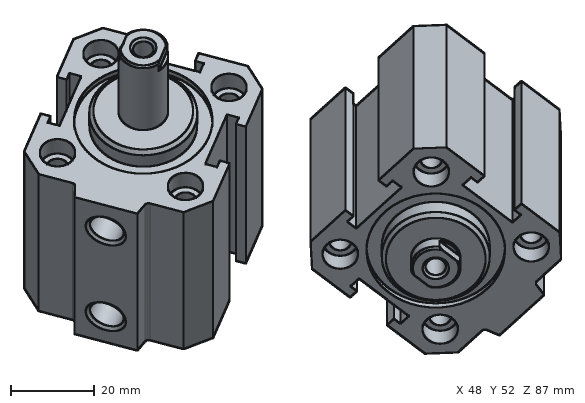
import cadquery as cq
import math

block_width = 48.0
block_height = 52.0
corner_chamfer = 5.6

rib_height = 4.0
rib_tip_width = 16.0
rib_flank_angle = 15.0
rib_root_fillet = 1.0

slot_depth = 5.5
slot_undercut_width = 16.2
side_slot_mouth_width = 12.0
side_slot_lip = 2.5
back_slot_mouth_width = 11.8
back_slot_lip = 2.6

recess_diameter = 33.3
recess_depth = 1.8
collar_diameter = 26.0
collar_projection = 3.5
collar_chamfer = 1.0

mount_spacing = 32.5
mount_diameter = 5.3
mount_counterbore_diameter = 8.5
mount_counterbore_depth = 5.5

port_spacing = 32.5
port_diameter = 8.57
port_mouth_diameter = 10.2
port_depth = 10.0

rod_diameter = 12.0
rod_upper_extension = 24.0
rod_lower_extension = 4.0
rod_end_chamfer = 0.5
flat_width = 10.0
flat_length = 3.0
thread_diameter = 4.92
thread_mouth_diameter = 6.3
thread_depth = 12.0

half_width = block_width / 2
rib_face_y = -half_width - rib_height
collar_top_z = block_height + collar_projection
collar_bottom_z = -collar_projection
rod_top_z = collar_top_z + rod_upper_extension
rod_bottom_z = collar_bottom_z - rod_lower_extension


def at_both_ends(feature):
    """A feature of the block's upper end, and its mirror image at the lower end."""
    mirrored = feature.mirror("XY", (0, 0, block_height / 2))
    return [feature, mirrored]


def block():
    body = cq.Workplane("XY").rect(block_width, block_width).extrude(block_height)
    return body.edges("|Z").chamfer(corner_chamfer)


def port_rib():
    """Tapered rib whose flanks run into the block face through concave fillets."""
    angle = math.radians(rib_flank_angle)
    tip = rib_tip_width / 2
    root = tip + rib_height * math.tan(angle)
    turn = math.pi / 2 - angle
    tangent_length = rib_root_fillet * math.tan(turn / 2)
    arc_start = (root + tangent_length, -half_width)
    arc_end = (root - tangent_length * math.sin(angle), -half_width - tangent_length * math.cos(angle))
    arc_middle = (
        arc_start[0] - rib_root_fillet * math.sin(turn / 2),
        -half_width - rib_root_fillet * (1 - math.cos(turn / 2)),
    )
    return (
        cq.Workplane("XY")
        .moveTo(0, rib_face_y)
        .lineTo(tip, rib_face_y)
        .lineTo(*arc_end)
        .threePointArc(arc_middle, arc_start)
        .lineTo(arc_start[0], 0)
        .lineTo(0, 0)
        .close()
        .extrude(block_height)
    )


def t_slot(mouth_width, lip, turn_angle):
    """T-slot cut from the +Y face, turned about Z onto the face it belongs to."""
    undercut_depth = slot_depth - lip
    undercut_y = half_width - slot_depth + undercut_depth / 2
    mouth = cq.Workplane("XY").center(0, half_width - slot_depth / 2).rect(mouth_width, slot_depth)
    undercut = cq.Workplane("XY").center(0, undercut_y).rect(slot_undercut_width, undercut_depth)
    slot = mouth.extrude(block_height).union(undercut.extrude(block_height))
    return slot.rotate((0, 0, 0), (0, 0, 1), turn_angle)


def collar_recess():
    floor = cq.Workplane("XY").workplane(offset=block_height - recess_depth)
    return floor.circle(recess_diameter / 2).extrude(recess_depth)


def collar():
    base = cq.Workplane("XY").workplane(offset=block_height - recess_depth)
    ring = base.circle(collar_diameter / 2).extrude(recess_depth + collar_projection)
    return ring.faces(">Z").chamfer(collar_chamfer)


def mount_holes():
    pattern = cq.Workplane("XY").rect(mount_spacing, mount_spacing, forConstruction=True).vertices()
    return pattern.circle(mount_diameter / 2).extrude(block_height)


def mount_counterbores():
    floor = cq.Workplane("XY").workplane(offset=block_height - mount_counterbore_depth)
    pattern = floor.rect(mount_spacing, mount_spacing, forConstruction=True).vertices()
    return pattern.circle(mount_counterbore_diameter / 2).extrude(mount_counterbore_depth)


def countersunk_hole(diameter, mouth_diameter, depth):
    """Blind hole from the origin into +Z, with a 45 degree countersink at its mouth."""
    radius = diameter / 2
    mouth_radius = mouth_diameter / 2
    return (
        cq.Workplane("XZ")
        .polyline([(0, 0), (mouth_radius, 0), (radius, mouth_radius - radius), (radius, depth), (0, depth)])
        .close()
        .revolve(360, (0, 0), (0, 1))
    )


def air_port(height):
    hole = countersunk_hole(port_diameter, port_mouth_diameter, port_depth)
    return hole.rotate((0, 0, 0), (1, 0, 0), -90).translate((0, rib_face_y, height))


def build_housing():
    body = block().union(port_rib()).union(port_rib().mirror("YZ"))
    body = body.cut(t_slot(back_slot_mouth_width, back_slot_lip, 0))
    for turn_angle in (90, -90):
        body = body.cut(t_slot(side_slot_mouth_width, side_slot_lip, turn_angle))
    for recess in at_both_ends(collar_recess()):
        body = body.cut(recess)
    for ring in at_both_ends(collar()):
        body = body.union(ring)
    body = body.cut(mount_holes())
    for counterbores in at_both_ends(mount_counterbores()):
        body = body.cut(counterbores)
    for side in (-1, 1):
        body = body.cut(air_port(block_height / 2 + side * port_spacing / 2))
    bore = cq.Workplane("XY").workplane(offset=collar_bottom_z).circle(rod_diameter / 2)
    return body.cut(bore.extrude(collar_top_z - collar_bottom_z))


def end_flats(start_z):
    """Material outside the two wrench flats, over one flat length upwards from start_z."""
    level = cq.Workplane("XY").workplane(offset=start_z)
    outside = level.rect(2 * rod_diameter, 2 * rod_diameter).extrude(flat_length)
    kept = level.rect(flat_width, 2 * rod_diameter).extrude(flat_length)
    return outside.cut(kept)


def build_rod():
    base = cq.Workplane("XY").workplane(offset=rod_bottom_z)
    rod = base.circle(rod_diameter / 2).extrude(rod_top_z - rod_bottom_z)
    rod = rod.faces("<Z or >Z").chamfer(rod_end_chamfer)
    for start_z in (rod_bottom_z, rod_top_z - flat_length):
        rod = rod.cut(end_flats(start_z))
    thread_hole = countersunk_hole(thread_diameter, thread_mouth_diameter, thread_depth)
    rod = rod.cut(thread_hole.translate((0, 0, rod_bottom_z)))
    return rod.cut(thread_hole.mirror("XY").translate((0, 0, rod_top_z)))


housing = build_housing()
piston_rod = build_rod()

result = cq.Compound.makeCompound([housing.val(), piston_rod.val()])